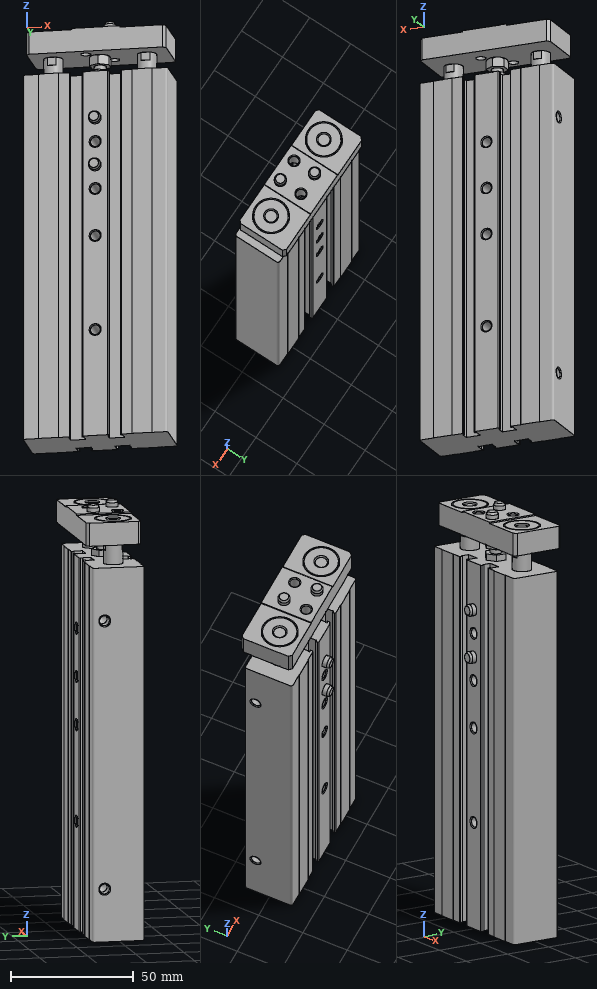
import cadquery as cq
import math


housing_width = 60.0
housing_depth = 21.5
housing_height = 154.7
housing_corner = 1.0
pad_rise = 0.2
pad_width = 8.3
rib_width = 11.3
slot_width = 4.8
slot_depth = 5.0
slot_floor_width = 6.2
slot_lip = 1.5
mouth_chamfer = 0.5

bore_diameter = 4.0
mouth_diameter = 5.0
mount_pitch = 20.0
mount_hole_steps = (1.5, 2.5, 3.5, 5.5)
front_pin_steps = (1, 2)
port_end_distance = 21.9
port_y = 5.8
port_depth = 5.0
drill_angle = 118

plate_width = 58.0
plate_back_y = 13.0
plate_front_y = -9.7
plate_thickness = 9.5
plate_corner = 1.2
plate_gap = 9.0
boss_width = 20.0
boss_rise = 0.5
plate_hole_offset = 10.0 / 2

hex_across_flats = 8.1
nut_height = 4.0
bolt_head_height = 2.6
bolt_diameter = 5.0
nut_chamfer = 0.5

rod_spacing = 38.9
rod_diameter = 8.0
rod_across_flats = 7.0
rod_flat_height = 3.4
head_diameter = 14.0
head_height = 5.0
counterbore_diameter = 15.0
socket_diameter = 6.0
socket_floor_diameter = 5.0

pin_diameter = 5.0
pin_seat = 5.0
pin_chamfer_width = 0.5
pin_chamfer_length = 1.0
plate_pin_rise = 2.8
front_pin_rise = 3.0

hex_across_corners = hex_across_flats / math.cos(math.pi / 6)
mouth_chamfer_depth = (mouth_diameter - bore_diameter) / 2
front_face_y = -housing_depth / 2 - pad_rise
plate_bottom_z = housing_height + plate_gap
plate_side_top_z = plate_bottom_z + plate_thickness
boss_thickness = plate_thickness + boss_rise
plate_top_z = plate_bottom_z + boss_thickness
rod_places = [(-rod_spacing / 2, 0), (rod_spacing / 2, 0)]
plate_pin_places = [(-plate_hole_offset, plate_hole_offset), (plate_hole_offset, -plate_hole_offset)]
plate_open_places = [(-plate_hole_offset, -plate_hole_offset), (plate_hole_offset, plate_hole_offset)]
front_pin_heights = [housing_height - step * mount_pitch for step in front_pin_steps]
mount_hole_heights = [housing_height - step * mount_pitch for step in mount_hole_steps]


def block(width, depth, height):
    """A box centred in X and Y that stands on Z = 0."""
    return cq.Workplane("XY").box(width, depth, height, centered=(True, True, False))


def cylinder(start, direction, diameter, length):
    """A solid cylinder from `start` along `direction`."""
    return cq.Workplane(cq.Solid.makeCylinder(diameter / 2, length, cq.Vector(*start), cq.Vector(*direction)))


def cone(start, direction, start_diameter, end_diameter, length):
    """A solid cone from `start` along `direction`."""
    solid = cq.Solid.makeCone(
        start_diameter / 2, end_diameter / 2, length, cq.Vector(*start), cq.Vector(*direction)
    )
    return cq.Workplane(solid)


def hole_mouth(start, direction):
    """The cone that widens a bore to the mouth diameter at the surface."""
    return cone(start, direction, mouth_diameter, bore_diameter, mouth_chamfer_depth)


def slot_cutter(x, side):
    """A lengthwise T-slot with a chamfered mouth in the front (side -1) or back (side 1) face."""
    mouth_y = side * (housing_depth / 2 + pad_rise)
    neck_y = mouth_y - side * mouth_chamfer
    lip_y = mouth_y - side * slot_lip
    floor_y = mouth_y - side * slot_depth
    neck = slot_width / 2
    mouth = neck + mouth_chamfer
    floor = slot_floor_width / 2
    half_outline = [(mouth, mouth_y), (neck, neck_y), (neck, lip_y), (floor, lip_y), (floor, floor_y)]
    right = [(x + offset, y) for offset, y in half_outline]
    left = [(x - offset, y) for offset, y in reversed(half_outline)]
    return cq.Workplane("XY").polyline(right + left).close().extrude(housing_height)


def make_housing():
    body = block(housing_width, housing_depth, housing_height)
    body = body.edges("|Z").fillet(housing_corner)

    full_depth = housing_depth + 2 * pad_rise
    slot_x = (rib_width + slot_width) / 2
    strips = [(0, 2 * slot_x)] + [(x, pad_width) for x, _ in rod_places]
    for x, width in strips:
        strip = block(width, full_depth, housing_height)
        body = body.union(strip.translate((x, 0, 0)))

    for x in (-slot_x, slot_x):
        for side in (-1, 1):
            body = body.cut(slot_cutter(x, side))

    for z in mount_hole_heights:
        body = body.cut(cylinder((0, front_face_y, z), (0, 1, 0), bore_diameter, full_depth))
        body = body.cut(hole_mouth((0, front_face_y, z), (0, 1, 0)))
        body = body.cut(hole_mouth((0, -front_face_y, z), (0, -1, 0)))

    for z in front_pin_heights:
        body = body.cut(cylinder((0, front_face_y, z), (0, 1, 0), pin_diameter, pin_seat))

    drill_tip = bore_diameter / 2 / math.tan(math.radians(drill_angle / 2))
    for z in (port_end_distance, housing_height - port_end_distance):
        start = (-housing_width / 2, port_y, z)
        body = body.cut(hole_mouth(start, (1, 0, 0)))
        body = body.cut(cylinder(start, (1, 0, 0), bore_diameter, port_depth))
        tip_start = (-housing_width / 2 + port_depth, port_y, z)
        body = body.cut(cone(tip_start, (1, 0, 0), bore_diameter, 0, drill_tip))
    return body


def hex_prism(bottom_z, height):
    """A hexagonal prism with flats facing -X and +X."""
    prism = cq.Workplane("XY").polygon(6, hex_across_corners).extrude(height)
    half_corner_angle = 30
    return prism.rotate((0, 0, 0), (0, 0, 1), half_corner_angle).translate((0, 0, bottom_z))


def make_plate():
    depth = plate_back_y - plate_front_y
    centre_y = (plate_back_y + plate_front_y) / 2
    plate = block(plate_width, depth, plate_thickness)
    plate = plate.edges("|Z").chamfer(plate_corner)
    boss = block(boss_width, depth, boss_thickness)
    plate = plate.union(boss).translate((0, centre_y, plate_bottom_z))

    for x, y in rod_places:
        plate = plate.cut(cylinder((x, y, plate_bottom_z), (0, 0, 1), rod_diameter, plate_thickness))
        head_z = plate_side_top_z - head_height
        plate = plate.cut(cylinder((x, y, head_z), (0, 0, 1), counterbore_diameter, head_height))

    for x, y in plate_open_places:
        plate = plate.cut(cylinder((x, y, plate_top_z), (0, 0, -1), bore_diameter, boss_thickness))
        plate = plate.cut(hole_mouth((x, y, plate_top_z), (0, 0, -1)))
    for x, y in plate_pin_places:
        plate = plate.cut(cylinder((x, y, plate_top_z), (0, 0, -1), pin_diameter, pin_seat))

    plate = plate.union(cylinder((0, 0, housing_height), (0, 0, 1), bolt_diameter, plate_gap))
    plate = plate.union(hex_prism(housing_height, bolt_head_height))
    nut_z = plate_bottom_z - nut_height
    nut_turning = cylinder((0, 0, nut_z), (0, 0, 1), hex_across_corners, nut_height)
    nut_turning = nut_turning.faces(">Z").chamfer(nut_chamfer)
    plate = plate.union(hex_prism(nut_z, nut_height).intersect(nut_turning))
    return plate


def make_rod(x, y):
    head_z = plate_side_top_z - head_height
    rod = cylinder((0, 0, housing_height), (0, 0, 1), rod_diameter, head_z - housing_height)
    flat_bottom_z = plate_bottom_z - rod_flat_height
    for side in (-1, 1):
        flat = block(rod_diameter, rod_diameter, rod_flat_height)
        rod = rod.cut(flat.translate((0, side * (rod_across_flats + rod_diameter) / 2, flat_bottom_z)))
    rod = rod.union(cylinder((0, 0, head_z), (0, 0, 1), head_diameter, head_height))
    socket_depth = (socket_diameter - socket_floor_diameter) / 2
    top = (0, 0, plate_side_top_z)
    rod = rod.cut(cone(top, (0, 0, -1), socket_diameter, socket_floor_diameter, socket_depth))
    return rod.translate((x, y, 0))


def make_pin(surface_point, direction, rise):
    """A pin that stands out of a surface by `rise`, with a chamfered outer end."""
    pin = cq.Workplane("XY").workplane(offset=-pin_seat).circle(pin_diameter / 2).extrude(pin_seat + rise)
    pin = pin.faces(">Z").chamfer(pin_chamfer_length, pin_chamfer_width)
    place = cq.Plane(origin=surface_point, xDir=(1, 0, 0), normal=direction)
    return pin.val().moved(cq.Location(place))


housing = make_housing()
plate = make_plate()
rods = [make_rod(x, y).val() for x, y in rod_places]
plate_pins = [make_pin((x, y, plate_top_z), (0, 0, 1), plate_pin_rise) for x, y in plate_pin_places]
front_pins = [make_pin((0, front_face_y, z), (0, -1, 0), front_pin_rise) for z in front_pin_heights]

result = cq.Compound.makeCompound([housing.val(), plate.val(), *rods, *plate_pins, *front_pins])